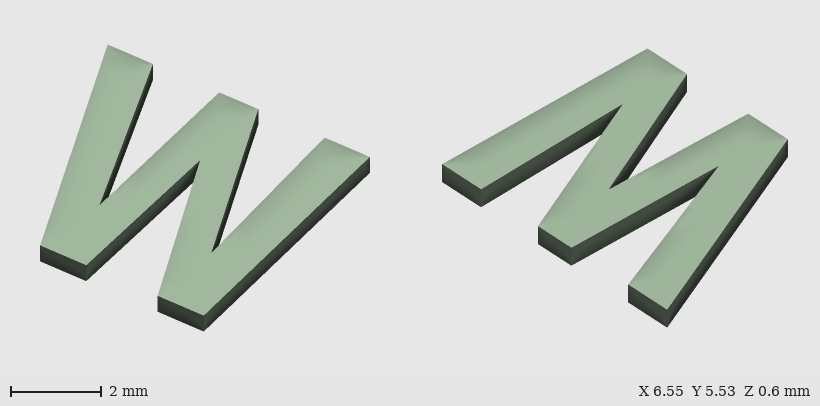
import cadquery as cq

width = 6.55
height = 5.53
thickness = 0.6

arm_top_width = 1.13
peak_top_width = 0.975
foot_width = 1.15

foot_inset = 1.23
upper_notch_x = 1.395
upper_notch_y = 1.585
lower_notch_y = 3.7

half_width = width / 2
foot_outer_x = half_width - foot_inset
foot_inner_x = foot_outer_x - foot_width

right_half = [
    (foot_inner_x, 0),
    (foot_outer_x, 0),
    (half_width, height),
    (half_width - arm_top_width, height),
    (upper_notch_x, upper_notch_y),
    (peak_top_width / 2, height),
]
left_half = [(-x, y) for x, y in reversed(right_half)]
outline = [(0, lower_notch_y)] + right_half + left_half

result = (
    cq.Workplane("XY")
    .polyline(outline)
    .close()
    .extrude(thickness)
)